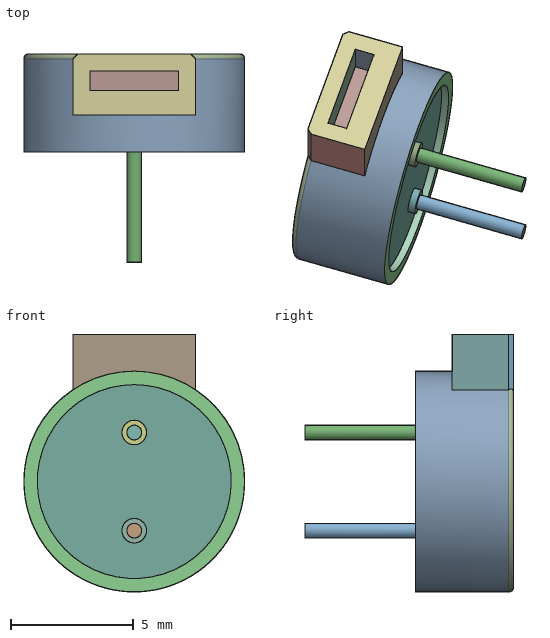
import cadquery as cq

body_radius = 4.5
body_depth = 4.0
back_edge_fillet = 0.2

recess_radius = 3.95
recess_depth = 0.3

pin_radius = 0.3
pin_length = 4.5
pin_spacing = 4.0
collar_radius = 0.5

port_width = 5.0
port_depth = 2.5
port_top = 6.0
port_chamfer = 0.2

slot_width = 3.6
slot_thickness = 0.8
slot_back_wall = 0.7
slot_bottom = body_radius


def cylinder_along_y(radius, y_start, y_end, z_center=0.0):
    """Solid cylinder parallel to Y, centered on X = 0."""
    return cq.Workplane(cq.Solid.makeCylinder(
        radius, y_end - y_start, cq.Vector(0, y_start, z_center), cq.Vector(0, 1, 0)
    ))


def box_from_back(width, back_inset, depth, z_bottom, z_top):
    """Box centered on X = 0, with its back face inset from the back of the body."""
    y_center = body_depth - back_inset - depth / 2
    return (
        cq.Workplane("XY", origin=(0, y_center, z_bottom))
        .rect(width, depth)
        .extrude(z_top - z_bottom)
    )


def make_body():
    body = cylinder_along_y(body_radius, 0, body_depth)
    return body.faces(">Y").edges().fillet(back_edge_fillet)


def make_port():
    port = box_from_back(port_width, 0, port_depth, 0, port_top)
    return port.faces(">Y").edges("|Z").chamfer(port_chamfer)


def make_pin(z_center):
    collar = cylinder_along_y(collar_radius, 0, recess_depth, z_center)
    pin = cylinder_along_y(pin_radius, -pin_length, recess_depth, z_center)
    return collar.union(pin)


recess = cylinder_along_y(recess_radius, 0, recess_depth)
slot = box_from_back(slot_width, slot_back_wall, slot_thickness, slot_bottom, port_top)

result = make_body().union(make_port()).cut(recess).cut(slot)
for side in (-1, 1):
    result = result.union(make_pin(side * pin_spacing / 2))